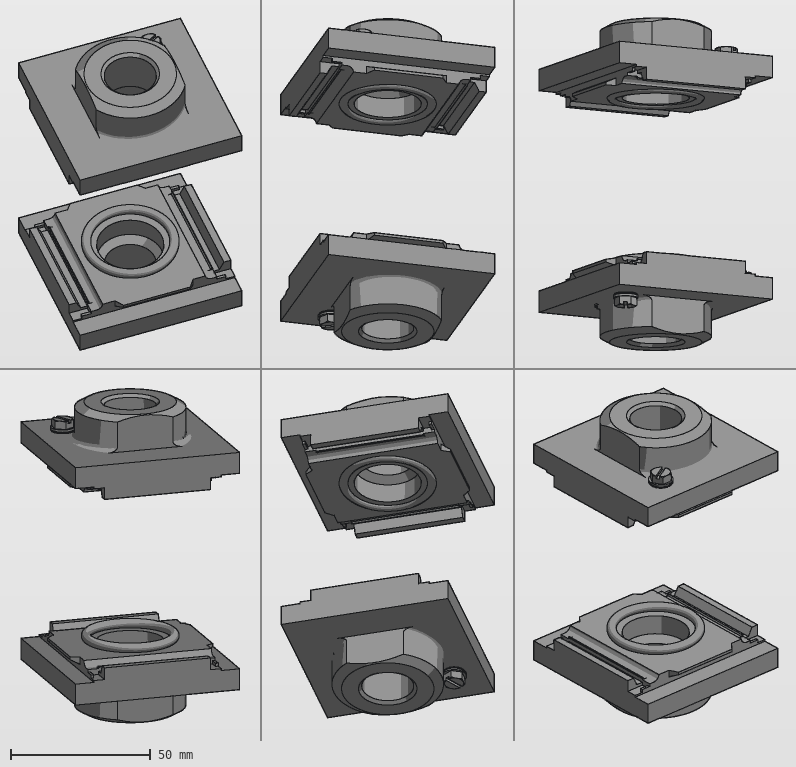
import cadquery as cq
import math


TOTAL_HEIGHT = 115.0
PLATE_SIDE = 62.0
EPS = 0.1

PAD_HEIGHT = 5.1
PLATE_THICKNESS = 7.8
BOSS_HEIGHT = 13.2
PLATE_TOP = PAD_HEIGHT + PLATE_THICKNESS
BOSS_TOP = PLATE_TOP + BOSS_HEIGHT

BOSS_DIAMETER = 40.0
BOSS_FLATS = 34.0
BOSS_TOP_DIAMETER = 33.1
BOSS_CHAMFER_HEIGHT = 2.0
BOSS_ROOT_RADIUS = 2.0

BORE_DIAMETER = 18.6
BORE_MOUTH_DIAMETER = 20.9
COUNTERBORE_DIAMETER = 24.0
COUNTERBORE_DEPTH = 7.4
BORE_CONE_HEIGHT = 2.4

PAD_HALF_LENGTH = 24.0
CHANNEL_FLOOR = 3.2
CHANNEL_INNER_Y = 24.0
CHANNEL_OUTER_Y = 26.6
FOOT_INNER_Y = 28.3
FLUTE_RADIUS = 2.5
FLUTE_HEIGHT = 2.2
LIP_OUTER_HEIGHT = 1.7
LIP_TIP_HEIGHT = 1.4
LIP_TIP_Y = 23.7
LIP_ROOT_Y = 23.2
TONGUE_HALF_WIDTH = 19.7
FLUTE_CENTER_Z = FLUTE_HEIGHT - FLUTE_RADIUS
FLUTE_CENTER_Y = TONGUE_HALF_WIDTH + math.sqrt(FLUTE_RADIUS**2 - FLUTE_CENTER_Z**2)
LIP_ROOT_HEIGHT = FLUTE_CENTER_Z + math.sqrt(FLUTE_RADIUS**2 - (LIP_ROOT_Y - FLUTE_CENTER_Y)**2)

RELIEF_START_X = 20.0
RELIEF_HEIGHT = 4.4
RELIEF_RIB_START_X = 23.0
RELIEF_RIB_OUTER_Y = 27.6

WEDGE_ROOT_HALF_WIDTH = 15.0
WEDGE_TIP_HALF_WIDTH = 12.8
WEDGE_ROOT_HEIGHT = 2.8
WEDGE_TIP_HEIGHT = 1.4
WEDGE_LENGTH = 2.9
WEDGE_TIP_SETBACK = 0.3

SCREW_X = -20.4
SCREW_Y = 15.5
HEX_SIDES = 6
HEX_FLATS = 6.9
HEX_TURN = 90.0
SCREW_HEIGHT = 4.5
WASHER_DIAMETER = 8.9
WASHER_BOTTOM = 0.6
WASHER_TOP = 1.5
NECK_DIAMETER = 8.0
TOOTH_COUNT = 24
TOOTH_GAP_WIDTH = 0.5
TOOTH_GAP_DEPTH = 0.6
SLOT_WIDTH = 1.3
SLOT_DEPTH = 1.0
SLOT_ANGLE = -60.0
HEX_CHAMFER_ANGLE = 30.0

RING_OUTER_DIAMETER = 35.1
RING_INNER_DIAMETER = 28.3
CORD_RADIUS = (RING_OUTER_DIAMETER - RING_INNER_DIAMETER) / 4
RING_MEAN_RADIUS = (RING_OUTER_DIAMETER + RING_INNER_DIAMETER) / 4
UPPER_RING_PROTRUSION = 1.2
LOWER_RING_PROTRUSION = 3.3


def block(x_range, y_range, z_range):
    """Box given by its limits along each axis."""
    (x0, x1), (y0, y1), (z0, z1) = x_range, y_range, z_range
    size = (x1 - x0, y1 - y0, z1 - z0)
    return cq.Workplane("XY").box(*size, centered=False).translate((x0, y0, z0))


def both_sides(half, plane):
    """A feature together with its mirror image across a plane through the bore axis."""
    return half.union(half.mirror(plane))


def o_ring(protrusion):
    """O-ring whose cord stands out of the mating face by the given protrusion."""
    center_z = CORD_RADIUS - protrusion
    section = cq.Workplane("XZ").center(RING_MEAN_RADIUS, center_z).circle(CORD_RADIUS)
    return section.revolve(360, (-RING_MEAN_RADIUS, 0, 0), (-RING_MEAN_RADIUS, 1, 0))


def boss():
    """Round boss with a filleted root and a chamfered top, cut by two wrench flats."""
    radius = BOSS_DIAMETER / 2
    root_mid = BOSS_ROOT_RADIUS * (1 - math.sqrt(0.5))
    round_boss = (
        cq.Workplane("XZ")
        .moveTo(0, PLATE_TOP)
        .lineTo(radius + BOSS_ROOT_RADIUS, PLATE_TOP)
        .threePointArc((radius + root_mid, PLATE_TOP + root_mid), (radius, PLATE_TOP + BOSS_ROOT_RADIUS))
        .lineTo(radius, BOSS_TOP - BOSS_CHAMFER_HEIGHT)
        .lineTo(BOSS_TOP_DIAMETER / 2, BOSS_TOP)
        .lineTo(0, BOSS_TOP)
        .close()
        .revolve(360, (0, 0, 0), (0, 1, 0))
    )
    between_flats = block(
        (-BOSS_DIAMETER, BOSS_DIAMETER), (-BOSS_FLATS / 2, BOSS_FLATS / 2), (PLATE_TOP, BOSS_TOP)
    )
    return round_boss.intersect(between_flats)


def bore():
    """Cutter: counterbore from the mating face, cone, through hole and chamfered mouth."""
    bore_radius = BORE_DIAMETER / 2
    mouth_chamfer = (BORE_MOUTH_DIAMETER - BORE_DIAMETER) / 2
    outline = [
        (0, 0),
        (COUNTERBORE_DIAMETER / 2, 0),
        (COUNTERBORE_DIAMETER / 2, COUNTERBORE_DEPTH),
        (bore_radius, COUNTERBORE_DEPTH + BORE_CONE_HEIGHT),
        (bore_radius, BOSS_TOP - mouth_chamfer),
        (bore_radius + mouth_chamfer, BOSS_TOP),
        (0, BOSS_TOP),
    ]
    return cq.Workplane("XZ").polyline(outline).close().revolve(360, (0, 0, 0), (0, 1, 0))


def pad_half():
    """Half of the pad on the +Y side: tongue, lip, channel and foot, before the corner reliefs."""
    return (
        cq.Workplane("YZ")
        .moveTo(0, PAD_HEIGHT)
        .lineTo(PLATE_SIDE / 2, PAD_HEIGHT)
        .lineTo(PLATE_SIDE / 2, 0)
        .lineTo(FOOT_INNER_Y, 0)
        .lineTo(CHANNEL_OUTER_Y, CHANNEL_FLOOR)
        .lineTo(CHANNEL_INNER_Y, CHANNEL_FLOOR)
        .lineTo(CHANNEL_INNER_Y, LIP_OUTER_HEIGHT)
        .lineTo(LIP_TIP_Y, LIP_TIP_HEIGHT)
        .lineTo(LIP_ROOT_Y, LIP_ROOT_HEIGHT)
        .threePointArc((FLUTE_CENTER_Y, FLUTE_HEIGHT), (TONGUE_HALF_WIDTH, 0))
        .lineTo(0, 0)
        .close()
        .extrude(PAD_HALF_LENGTH, both=True)
    )


def corner_relief():
    """Cutter for one pad corner: trims the lip flat and removes the end of the foot, leaving a rib."""
    x_range = (RELIEF_START_X, PAD_HALF_LENGTH + EPS)
    y_end = PLATE_SIDE / 2 + EPS
    lip_trim = block(x_range, (FLUTE_CENTER_Y, y_end), (-EPS, FLUTE_HEIGHT))
    foot_trim = block(x_range, (CHANNEL_INNER_Y, y_end), (-EPS, RELIEF_HEIGHT))
    rib = block(
        (RELIEF_RIB_START_X, PAD_HALF_LENGTH + EPS),
        (CHANNEL_INNER_Y, RELIEF_RIB_OUTER_Y),
        (CHANNEL_FLOOR, RELIEF_HEIGHT),
    )
    return lip_trim.union(foot_trim).cut(rib)


def wedge():
    """Tapered wedge on the +X end of the pad, its face sloping back slightly to the tip."""
    tip_x = PAD_HALF_LENGTH + WEDGE_LENGTH
    side_view = (
        cq.Workplane("XZ")
        .polyline([
            (PAD_HALF_LENGTH, 0),
            (tip_x, WEDGE_TIP_SETBACK),
            (tip_x, WEDGE_TIP_HEIGHT),
            (PAD_HALF_LENGTH, WEDGE_ROOT_HEIGHT),
        ])
        .close()
        .extrude(WEDGE_ROOT_HALF_WIDTH, both=True)
    )
    plan = (
        cq.Workplane("XY")
        .polyline([
            (PAD_HALF_LENGTH, -WEDGE_ROOT_HALF_WIDTH),
            (tip_x, -WEDGE_TIP_HALF_WIDTH),
            (tip_x, WEDGE_TIP_HALF_WIDTH),
            (PAD_HALF_LENGTH, WEDGE_ROOT_HALF_WIDTH),
        ])
        .close()
        .extrude(WEDGE_ROOT_HEIGHT)
    )
    return side_view.intersect(plan)


def pad():
    """Complete mating-side pad with relieved corners and end wedges."""
    reliefs = both_sides(both_sides(corner_relief(), "YZ"), "XZ")
    wedges = both_sides(wedge(), "YZ")
    return both_sides(pad_half(), "XZ").cut(reliefs).union(wedges)


def screw_head():
    """Slotted hex head on a washer face with a toothed underside, part of the plate casting."""
    hex_corners = HEX_FLATS / math.cos(math.pi / HEX_SIDES)
    corner_drop = (hex_corners - HEX_FLATS) / 2 * math.tan(math.radians(HEX_CHAMFER_ANGLE))
    head = (
        cq.Workplane("XY")
        .polygon(HEX_SIDES, hex_corners)
        .extrude(SCREW_HEIGHT)
        .rotate((0, 0, 0), (0, 0, 1), HEX_TURN)
    )
    chamfer_envelope = (
        cq.Workplane("XZ")
        .polyline([
            (0, 0),
            (hex_corners / 2, 0),
            (hex_corners / 2, SCREW_HEIGHT - corner_drop),
            (HEX_FLATS / 2, SCREW_HEIGHT),
            (0, SCREW_HEIGHT),
        ])
        .close()
        .revolve(360, (0, 0, 0), (0, 1, 0))
    )
    slot = (
        cq.Workplane("XY")
        .box(2 * hex_corners, SLOT_WIDTH, 2 * SLOT_DEPTH)
        .rotate((0, 0, 0), (0, 0, 1), SLOT_ANGLE)
        .translate((0, 0, SCREW_HEIGHT))
    )
    washer = (
        cq.Workplane("XY")
        .workplane(offset=WASHER_BOTTOM)
        .circle(WASHER_DIAMETER / 2)
        .extrude(WASHER_TOP - WASHER_BOTTOM)
    )
    neck = cq.Workplane("XY").circle(NECK_DIAMETER / 2).extrude(WASHER_BOTTOM)
    tooth_gaps = (
        cq.Workplane("XY")
        .polarArray(NECK_DIAMETER / 2, 0, 360, TOOTH_COUNT)
        .rect(2 * TOOTH_GAP_DEPTH, TOOTH_GAP_WIDTH)
        .extrude(WASHER_BOTTOM)
    )
    slotted_head = head.intersect(chamfer_envelope).cut(slot)
    screw = slotted_head.union(neck.cut(tooth_gaps)).union(washer)
    return screw.translate((SCREW_X, SCREW_Y, PLATE_TOP))


def sealing_plate(ring_protrusion):
    """Square plate with boss, pad, screw head and a seat that fits its O-ring."""
    half_side = PLATE_SIDE / 2
    slab = block((-half_side, half_side), (-half_side, half_side), (PAD_HEIGHT, PLATE_TOP))
    body = slab.union(pad()).union(boss()).union(screw_head())
    return body.cut(bore()).cut(o_ring(ring_protrusion))


def place_upper(body):
    """Put a body of the upper set in place, boss pointing up."""
    return body.translate((0, 0, TOTAL_HEIGHT / 2 - BOSS_TOP))


def place_lower(body):
    """Put a body of the lower set in place: the upper position turned half a turn about Y."""
    return place_upper(body).rotate((0, 0, 0), (0, 1, 0), 180)


bodies = []
for place, protrusion in ((place_upper, UPPER_RING_PROTRUSION), (place_lower, LOWER_RING_PROTRUSION)):
    bodies.append(place(sealing_plate(protrusion)).solids().val())
    bodies.append(place(o_ring(protrusion)).solids().val())

result = cq.Compound.makeCompound(bodies)